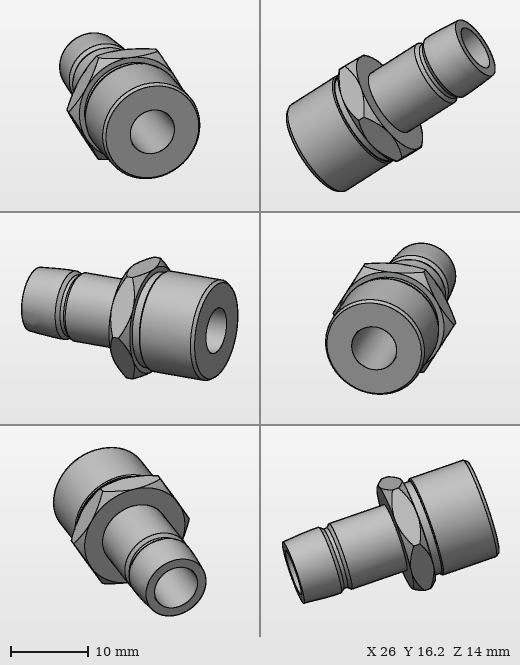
import cadquery as cq
import math

nose_length = 4.0
groove_start = 5.0
groove_floor_start = 5.5
groove_floor_end = 6.0
groove_end = 6.45
hex_start = 14.0
hex_end = 17.0
body_start = 18.1
total_length = 26.0

bore_radius = 3.0
nose_tip_radius = 4.2
spigot_radius = 4.5
groove_radius = 4.08
neck_radius = 6.28
body_radius = 6.6

hex_across_flats = 14.0
hex_across_corners = hex_across_flats / math.cos(math.radians(30))
hex_face_radius = hex_across_flats / 2
nose_bulge = 0.03
body_rear_chamfer = 0.15
body_front_chamfer_length = 0.45
body_front_chamfer_depth = 0.3


def make_turned_blank():
    """Solid of revolution about X: spigot with domed nose and groove, neck and body."""
    front_face_radius = body_radius - body_front_chamfer_depth
    nose_middle = (nose_length / 2, (nose_tip_radius + spigot_radius) / 2 + nose_bulge)
    profile = (
        cq.Workplane("XY")
        .lineTo(0, nose_tip_radius)
        .threePointArc(nose_middle, (nose_length, spigot_radius))
        .lineTo(groove_start, spigot_radius)
        .lineTo(groove_floor_start, groove_radius)
        .lineTo(groove_floor_end, groove_radius)
        .lineTo(groove_end, spigot_radius)
        .lineTo(hex_start, spigot_radius)
        .lineTo(hex_start, neck_radius)
        .lineTo(body_start, neck_radius)
        .lineTo(body_start, body_radius - body_rear_chamfer)
        .lineTo(body_start + body_rear_chamfer, body_radius)
        .lineTo(total_length - body_front_chamfer_length, body_radius)
        .lineTo(total_length, front_face_radius)
        .lineTo(total_length, 0)
        .close()
    )
    return profile.revolve(360, (0, 0, 0), (1, 0, 0))


def make_hexagon():
    """Wrench hexagon with flats facing +Z and -Z, corners turned off at 45 degrees on both faces."""
    hex_length = hex_end - hex_start
    prism = (
        cq.Workplane("YZ", origin=(hex_start, 0, 0))
        .polygon(6, hex_across_corners)
        .extrude(hex_length)
    )
    peak_radius = hex_face_radius + hex_length / 2
    corner_envelope = (
        cq.Workplane("XY")
        .moveTo(hex_start, 0)
        .lineTo(hex_start, hex_face_radius)
        .lineTo((hex_start + hex_end) / 2, peak_radius)
        .lineTo(hex_end, hex_face_radius)
        .lineTo(hex_end, 0)
        .close()
        .revolve(360, (0, 0, 0), (1, 0, 0))
    )
    return prism.intersect(corner_envelope)


def make_bore():
    """Cylinder for the straight through bore."""
    return cq.Workplane("YZ").circle(bore_radius).extrude(total_length)


result = make_turned_blank().union(make_hexagon()).cut(make_bore())